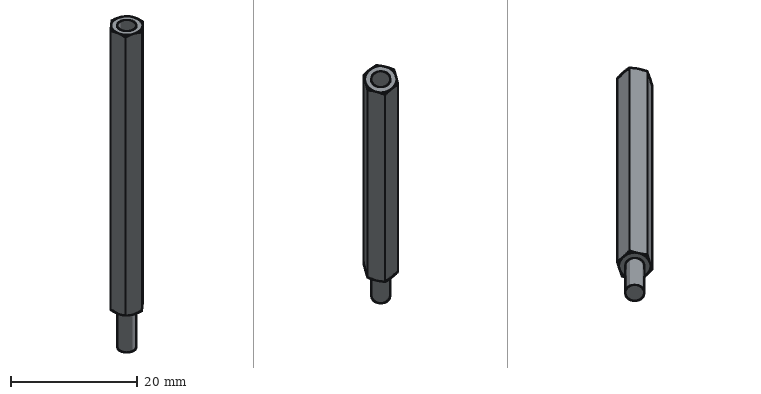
import cadquery as cq
import math

total_length = 63.0
stud_length = 8.0
stud_diameter = 3.0
across_flats = 5.0
chamfer_angle = 30.0

hex_length = total_length - stud_length
across_corners = across_flats / math.cos(math.radians(30))
end_face_radius = across_flats / 2
corner_radius = across_corners / 2
chamfer_height = (corner_radius - end_face_radius) * math.tan(math.radians(chamfer_angle))
bore_diameter = stud_diameter
bore_depth = stud_length


def make_chamfer_envelope():
    """Cylinder around the hexagon corners, with a conical chamfer at each end."""
    return (
        cq.Workplane("XZ")
        .moveTo(0, 0)
        .lineTo(end_face_radius, 0)
        .lineTo(corner_radius, chamfer_height)
        .lineTo(corner_radius, hex_length - chamfer_height)
        .lineTo(end_face_radius, hex_length)
        .lineTo(0, hex_length)
        .close()
        .revolve(360, (0, 0), (0, 1))
    )


def make_hex_body():
    """Hexagonal spacer standing on Z = 0, with corners along Y and a blind bore on top."""
    prism = (
        cq.Workplane("XY")
        .transformed(rotate=(0, 0, 90))
        .polygon(6, across_corners)
        .extrude(hex_length)
    )
    bore = (
        cq.Workplane("XY")
        .workplane(offset=hex_length)
        .circle(bore_diameter / 2)
        .extrude(-bore_depth)
    )
    return prism.intersect(make_chamfer_envelope()).cut(bore)


def make_stud():
    """Plain round stud hanging from the lower face of the hexagonal body."""
    return cq.Workplane("XY").circle(stud_diameter / 2).extrude(-stud_length)


hex_body = make_hex_body()
stud = make_stud()

result = cq.Compound.makeCompound([hex_body.val(), stud.val()])